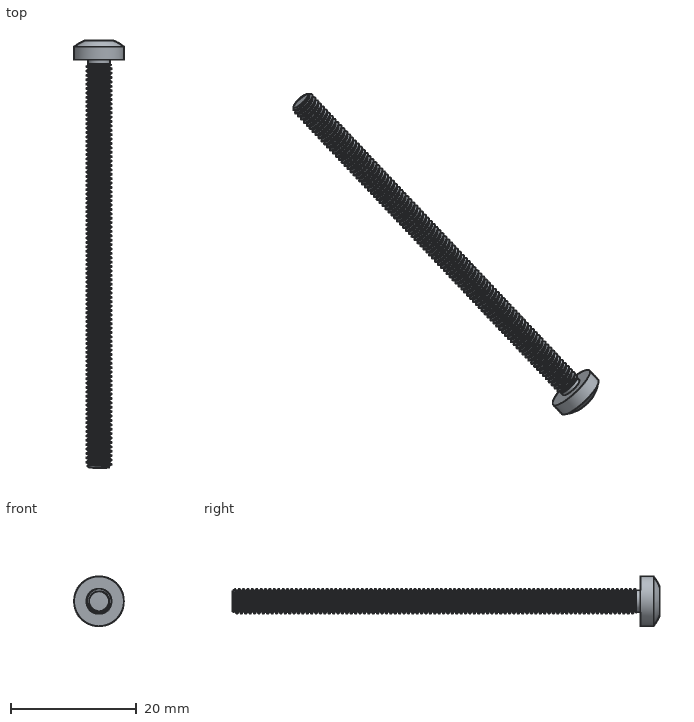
import cadquery as cq
import math

total_length = 68.1

head_radius = 8.0 / 2
head_height = 3.1
rim_height = 2.1
dome_radius = 6.25

neck_radius = 3.55 / 2
neck_length = 0.6

major_radius = 4.0 / 2
turn_count = 92
overrun_turns = 2
half_flank_angle = math.radians(30)
start_angle = 270

tip_radius = 3.1 / 2
tip_dome_height = 0.1

bearing_height = total_length - head_height
neck_bottom = bearing_height - neck_length
pitch = neck_bottom / turn_count
crest_width = pitch / 8
root_width = pitch / 4
flank_width = (pitch - crest_width - root_width) / 2
thread_depth = flank_width / math.tan(half_flank_angle)
root_radius = major_radius - thread_depth

thread_profile = [
    (root_radius, 0),
    (root_radius, root_width),
    (major_radius, root_width + flank_width),
    (major_radius, root_width + flank_width + crest_width),
    (root_radius, pitch),
]


def revolve_upright(profile):
    return profile.close().revolve(360, (0, 0, 0), (0, 1, 0))


def make_helix(radius, height):
    """One turn of a helix, starting at the given height."""
    turn = cq.Wire.makeHelix(pitch, pitch, radius).Edges()[0]
    return turn.translate(cq.Vector(0, 0, height))


def make_end_cap():
    """Faces closing the end of a thread: a spiral ramp and the step between its ends."""
    axis_line = cq.Edge.makeLine(cq.Vector(0, 0, 0), cq.Vector(0, 0, pitch))
    ramp = cq.Face.makeRuledSurface(axis_line, make_helix(root_radius, 0))
    step_outline = [(0, 0), *thread_profile, (0, pitch)]
    step_points = [cq.Vector(radius, 0, height) for radius, height in step_outline]
    step = cq.Face.makeFromWires(cq.Wire.makePolygon(step_points, close=True))
    return [ramp, step]


def make_threaded_rod():
    """Rod of helical faces, one set per turn, overrunning the thread at both ends."""
    helices = [make_helix(radius, height) for radius, height in thread_profile]
    turn = [cq.Face.makeRuledSurface(low, high) for low, high in zip(helices, helices[1:])]
    cap = make_end_cap()
    lowest = -overrun_turns * pitch
    turns = turn_count + 2 * overrun_turns
    skin = [face.translate(cq.Vector(0, 0, lowest)) for face in cap]
    for index in range(turns):
        skin += [face.translate(cq.Vector(0, 0, lowest + index * pitch)) for face in turn]
    skin += [face.translate(cq.Vector(0, 0, lowest + turns * pitch)) for face in cap]
    rod = cq.Workplane(cq.Solid.makeSolid(cq.Shell.makeShell(skin)))
    return rod.rotate((0, 0, 0), (0, 0, 1), start_angle)


def make_shank_envelope():
    """Smooth body bounding the thread: domed tip, 45 degree chamfers at tip and neck."""
    sphere_radius = (tip_radius**2 + tip_dome_height**2) / (2 * tip_dome_height)
    middle_radius = tip_radius / 2
    middle_height = sphere_radius - math.sqrt(sphere_radius**2 - middle_radius**2)
    clear_radius = major_radius + thread_depth
    return revolve_upright(
        cq.Workplane("XZ")
        .threePointArc((middle_radius, middle_height), (tip_radius, tip_dome_height))
        .lineTo(clear_radius, tip_dome_height + clear_radius - tip_radius)
        .lineTo(clear_radius, neck_bottom - clear_radius + neck_radius)
        .lineTo(neck_radius, neck_bottom)
        .lineTo(0, neck_bottom)
    )


def make_head():
    """Head with the neck below it."""
    rim_top = bearing_height + rim_height
    dome_center = rim_top - math.sqrt(dome_radius**2 - head_radius**2)

    def dome_radius_at(height):
        return math.sqrt(dome_radius**2 - (height - dome_center) ** 2)

    middle_height = (rim_top + total_length) / 2
    return revolve_upright(
        cq.Workplane("XZ")
        .moveTo(0, neck_bottom)
        .lineTo(neck_radius, neck_bottom)
        .lineTo(neck_radius, bearing_height)
        .lineTo(head_radius, bearing_height)
        .lineTo(head_radius, rim_top)
        .threePointArc(
            (dome_radius_at(middle_height), middle_height),
            (dome_radius_at(total_length), total_length),
        )
        .lineTo(0, total_length)
    )


screw = make_threaded_rod().intersect(make_shank_envelope()).union(make_head())
result = screw.rotate((0, 0, 0), (1, 0, 0), -90).translate((0, -total_length / 2, 0))